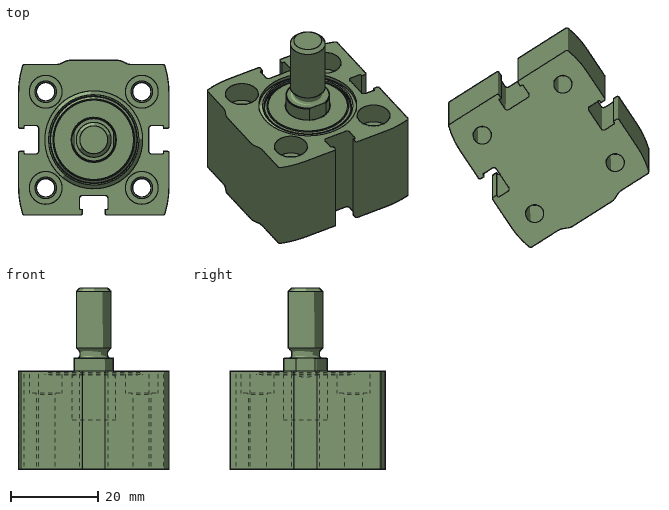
import cadquery as cq
import math

block_width = 34.5
body_height = 22.5
corner_fillet = 0.6

side_flat_half = 10.7
side_arc_radius = 21.15

pad_height = 1.0
pad_slope_angle = 25.0
pad_slope_middle_x = 6.97
pad_fillet = 3.0

mouth_half = 2.6
slot_half = 3.25
mouth_depth = 1.33
side_slot_depth = 4.6
front_slot_depth = 4.5
mouth_fillet = 0.37
slot_floor_fillet = 0.62
slot_lip_fillet = 0.12

bolt_spacing = 22.0
counterbore_diameter = 7.5
counterbore_depth = 5.0
bolt_hole_diameter = 4.15
bolt_hole_chamfer = 0.395

recess_radius = 22.4 / 2
bore_radius = 20.0 / 2
cap_depth = 0.3
ring_crest_radius = 10.35
ring_outer_drop = 0.55
ring_inner_drop = 0.12
cap_face_radius = 9.1
cap_edge_radius = 9.35
cap_edge_drop = 0.12
groove_floor_radius = 9.88

total_height = 41.5
boss_radius = 10.0 / 2
boss_height = 3.0
boss_chamfer = 0.15
flat_half = 9.0 / 2
flat_depth = 0.62
rod_radius = 8.0 / 2
tip_radius = 6.4 / 2
neck_radius = tip_radius
neck_cone_angle = 45.0
neck_fillet = 1.2 / 2
neck_fillet_gap = 0.65
seat_depth = 11.25
rod_hole_chamfer = 0.15

half_width = block_width / 2
pad_top_y = half_width + pad_height
cap_z = body_height - cap_depth
boss_top_z = body_height + boss_height
seat_z = body_height - seat_depth

bulge_angle = math.asin((half_width - side_flat_half) / side_arc_radius)
bulge_drop = side_arc_radius * (1 - math.cos(bulge_angle))
bulge_middle_drop = side_arc_radius * (1 - math.cos(bulge_angle / 2))
corner_x = half_width - bulge_drop
bulge_middle_x = half_width - bulge_middle_drop
bulge_middle_y = side_flat_half + side_arc_radius * math.sin(bulge_angle / 2)

pad_slope_run = pad_height / math.tan(math.radians(pad_slope_angle))
pad_foot_x = pad_slope_middle_x + pad_slope_run / 2
pad_edge_x = pad_slope_middle_x - pad_slope_run / 2


def fillet_upright_edges(body, points, radius):
    """Round the edges along Z that stand at the given (x, y) points."""
    selected = []
    for x, y in points:
        nearest = cq.selectors.NearestToPointSelector((x, y, body_height / 2))
        selected += body.edges("|Z").edges(nearest).vals()
    return body.newObject(selected).fillet(radius)


def revolve_about_z(profile):
    """Full turn of a profile that is drawn as (radius, height)."""
    return profile.revolve(360, (0, 0, 0), (0, 1, 0))


def make_block():
    """Solid block with bulged sides and the raised pad."""
    outline = (
        cq.Workplane("XY")
        .moveTo(-corner_x, -half_width)
        .lineTo(corner_x, -half_width)
        .threePointArc((bulge_middle_x, -bulge_middle_y), (half_width, -side_flat_half))
        .lineTo(half_width, side_flat_half)
        .threePointArc((bulge_middle_x, bulge_middle_y), (corner_x, half_width))
        .lineTo(pad_foot_x, half_width)
        .lineTo(pad_edge_x, pad_top_y)
        .lineTo(-pad_edge_x, pad_top_y)
        .lineTo(-pad_foot_x, half_width)
        .lineTo(-corner_x, half_width)
        .threePointArc((-bulge_middle_x, bulge_middle_y), (-half_width, side_flat_half))
        .lineTo(-half_width, -side_flat_half)
        .threePointArc((-bulge_middle_x, -bulge_middle_y), (-corner_x, -half_width))
        .close()
    )
    block = outline.extrude(body_height)
    corners = [(sx * corner_x, sy * half_width) for sx in (-1, 1) for sy in (-1, 1)]
    pad_bends = []
    for side in (-1, 1):
        pad_bends += [(side * pad_foot_x, half_width), (side * pad_edge_x, pad_top_y)]
    block = fillet_upright_edges(block, corners, corner_fillet)
    return fillet_upright_edges(block, pad_bends, pad_fillet)


def make_t_slot(depth):
    """Cutter for a T-slot in the -Y face."""
    centered = (True, False, False)
    chamber = cq.Workplane("XY").box(2 * slot_half, depth - mouth_depth, body_height, centered=centered)
    chamber = chamber.edges("|Z and >Y").fillet(slot_floor_fillet)
    chamber = chamber.edges("|Z and <Y").fillet(slot_lip_fillet)
    chamber = chamber.translate((0, mouth_depth - half_width, 0))
    mouth = cq.Workplane("XY").box(2 * mouth_half, mouth_depth, body_height, centered=centered)
    return chamber.union(mouth.translate((0, -half_width, 0)))


def cut_t_slots(body):
    """T-slots in the -Y face and in both sides."""
    body = body.cut(make_t_slot(front_slot_depth))
    side_slot = make_t_slot(side_slot_depth)
    for turn in (-90, 90):
        body = body.cut(side_slot.rotate((0, 0, 0), (0, 0, 1), turn))
    mouth_edges = [(side * mouth_half, -half_width) for side in (-1, 1)]
    mouth_edges += [(sx * half_width, sy * mouth_half) for sx in (-1, 1) for sy in (-1, 1)]
    return fillet_upright_edges(body, mouth_edges, mouth_fillet)


def cut_bolt_holes(body):
    """Counterbored through holes with a chamfer at the counterbore floor."""
    floor_z = body_height - counterbore_depth
    hole_radius = bolt_hole_diameter / 2
    profile = (
        cq.Workplane("XZ")
        .moveTo(0, 0)
        .lineTo(hole_radius, 0)
        .lineTo(hole_radius, floor_z - bolt_hole_chamfer)
        .lineTo(hole_radius + bolt_hole_chamfer, floor_z)
        .lineTo(counterbore_diameter / 2, floor_z)
        .lineTo(counterbore_diameter / 2, body_height)
        .lineTo(0, body_height)
        .close()
    )
    hole = revolve_about_z(profile)
    for sx in (-1, 1):
        for sy in (-1, 1):
            body = body.cut(hole.translate((sx * bolt_spacing / 2, sy * bolt_spacing / 2, 0)))
    return body


def cut_cap_recess(body):
    """Shape the cap face, the groove around it and the conical ring, all below the top face."""
    edge_z = cap_z - cap_edge_drop
    groove_z = edge_z - (groove_floor_radius - cap_edge_radius)
    profile = (
        cq.Workplane("XZ")
        .moveTo(0, body_height)
        .lineTo(0, cap_z)
        .lineTo(cap_face_radius, cap_z)
        .lineTo(cap_edge_radius, edge_z)
        .lineTo(groove_floor_radius, groove_z)
        .lineTo(bore_radius, groove_z)
        .lineTo(bore_radius, cap_z - ring_inner_drop)
        .lineTo(ring_crest_radius, cap_z)
        .lineTo(recess_radius, cap_z - ring_outer_drop)
        .lineTo(recess_radius, body_height)
        .close()
    )
    return body.cut(revolve_about_z(profile))


def cut_rod_hole(body):
    """Blind hole that the rod fits in, chamfered at the cap face."""
    profile = (
        cq.Workplane("XZ")
        .moveTo(0, seat_z)
        .lineTo(boss_radius, seat_z)
        .lineTo(boss_radius, cap_z - rod_hole_chamfer)
        .lineTo(boss_radius + rod_hole_chamfer, cap_z)
        .lineTo(0, cap_z)
        .close()
    )
    return body.cut(revolve_about_z(profile))


def make_housing():
    """Slotted block with bolt holes, end cap face and rod hole."""
    body = cut_t_slots(make_block())
    body = cut_bolt_holes(body)
    body = cut_cap_recess(body)
    return cut_rod_hole(body)


def make_rod_flats():
    """Cutter for the two wrench flats; each flat ends below in a 45 degree slope."""
    flat_end_z = cap_z - flat_depth
    slope = boss_radius - flat_half
    profile = (
        cq.Workplane("XZ")
        .moveTo(flat_half, flat_end_z)
        .lineTo(boss_radius, flat_end_z - slope)
        .lineTo(boss_radius, boss_top_z)
        .lineTo(flat_half, boss_top_z)
        .close()
    )
    flat = profile.extrude(boss_radius, both=True)
    return flat.union(flat.mirror("YZ"))


def make_rod():
    """Turned rod: seated shank, boss with flats, relieved neck and plain stud."""
    neck_bottom_z = boss_top_z + neck_fillet
    neck_top_z = neck_bottom_z + neck_fillet_gap
    cone_angle = math.radians(neck_cone_angle)
    fillet_center_r = neck_radius + neck_fillet
    arc_r = fillet_center_r - neck_fillet * math.cos(cone_angle)
    lower_arc_z = neck_bottom_z - neck_fillet * math.sin(cone_angle)
    upper_arc_z = neck_top_z + neck_fillet * math.sin(cone_angle)
    upper_middle_r = fillet_center_r - neck_fillet * math.cos(cone_angle / 2)
    upper_middle_z = neck_top_z + neck_fillet * math.sin(cone_angle / 2)
    profile = (
        cq.Workplane("XZ")
        .moveTo(0, seat_z)
        .lineTo(boss_radius, seat_z)
        .lineTo(boss_radius, boss_top_z - boss_chamfer)
        .lineTo(boss_radius - boss_chamfer, boss_top_z)
        .lineTo(fillet_center_r, boss_top_z)
        .threePointArc((arc_r, lower_arc_z), (neck_radius, neck_bottom_z))
        .lineTo(neck_radius, neck_top_z)
        .threePointArc((upper_middle_r, upper_middle_z), (arc_r, upper_arc_z))
        .lineTo(rod_radius, upper_arc_z + (rod_radius - arc_r) * math.tan(cone_angle))
        .lineTo(rod_radius, total_height - (rod_radius - tip_radius))
        .lineTo(tip_radius, total_height)
        .lineTo(0, total_height)
        .close()
    )
    rod = revolve_about_z(profile)
    return rod.cut(make_rod_flats())


housing = make_housing()
rod = make_rod()
result = cq.Compound.makeCompound([housing.val(), rod.val()])